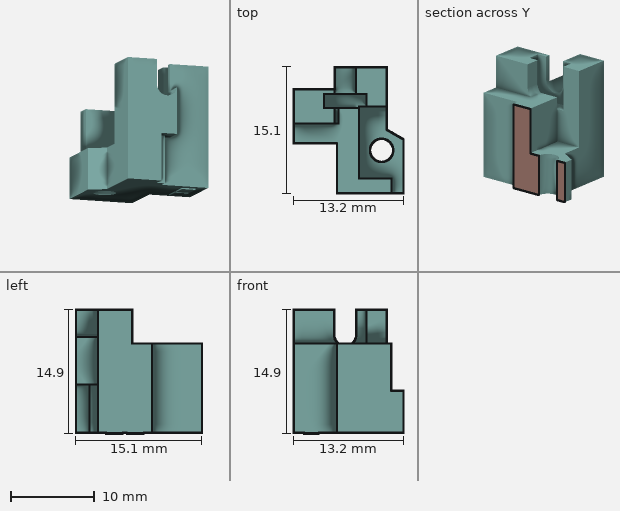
import cadquery as cq
import math

length_x = 13.15
depth_y = 15.1
body_height = 14.76
ledge_height = 10.71
step_height = 5.05

left_block_front = 6.0
left_block_back = 12.47
front_notch_x = 5.17
back_block_right = 11.15
slope_front_y = 6.48
slope_angle = 30
slope_back_y = slope_front_y + (length_x - back_block_right) * math.tan(math.radians(slope_angle))

slot_center_x = 6.18
slot_radius = 1.3
slot_center_z = 11.72
slot_left_x = slot_center_x - slot_radius
slot_right_x = slot_center_x + slot_radius

slot_lip_z = 11.48
back_block_left = slot_center_x - math.sqrt(slot_radius**2 - (slot_center_z - slot_lip_z) ** 2)

nut_width = 5.1
nut_front_y = 10.25
nut_back_y = 11.88
nut_floor_z = slot_center_z - nut_width / 2

left_tower_front = 8.35
right_tower_front = 10.38

step_left_x = 7.85
front_wall_thickness = 1.81
front_wall_right = 11.7
hole_x = 10.53
hole_y = 5.16
hole_diameter = 2.75

recess_height = 5.8
recess_step_y = 13.5
recess_inner_depth = 1.0
recess_outer_depth = 2.0

pad_thickness = 0.15
pad_left_x = 1.25
pad_size_x = 1.75
pad_size_y = 2.0
pad_front_ys = (7.0, 9.5)


def box(x0, x1, y0, y1, z0, z1):
    """Box between two opposite corners."""
    return cq.Workplane("XY").box(x1 - x0, y1 - y0, z1 - z0, centered=False).translate((x0, y0, z0))


def make_body():
    """Full-height prism of the plan outline."""
    outline = [
        (front_notch_x, 0),
        (length_x, 0),
        (length_x, slope_front_y),
        (back_block_right, slope_back_y),
        (back_block_right, depth_y),
        (back_block_left, depth_y),
        (back_block_left, left_block_back),
        (0, left_block_back),
        (0, left_block_front),
        (front_notch_x, left_block_front),
    ]
    return cq.Workplane("XY").polyline(outline).close().extrude(body_height)


def make_front_ledge():
    """Space above the lowered front top face, up to the two raised blocks."""
    front = box(0, length_x, 0, left_tower_front, ledge_height, body_height)
    beside_left_tower = box(
        slot_center_x, length_x, left_tower_front, nut_front_y, ledge_height, body_height
    )
    return front.union(beside_left_tower)


def make_screw_slot():
    """Round-bottomed slot; its floor stays at ledge height in front of the nut."""
    slot = (
        cq.Workplane("XZ")
        .moveTo(slot_left_x, body_height)
        .lineTo(slot_left_x, slot_center_z)
        .threePointArc((slot_center_x, slot_center_z - slot_radius), (slot_right_x, slot_center_z))
        .lineTo(slot_right_x, body_height)
        .close()
        .extrude(-depth_y)
    )
    return slot.cut(box(0, length_x, 0, nut_front_y, 0, ledge_height))


def make_nut_slot():
    """Rectangular slot that takes the nut from above."""
    half_width = nut_width / 2
    return box(
        slot_center_x - half_width, slot_center_x + half_width,
        nut_front_y, nut_back_y, nut_floor_z, body_height,
    )


def make_right_step():
    """Space above the step floor, leaving the front wall and the back block."""
    behind_wall = box(
        step_left_x, length_x, front_wall_thickness, right_tower_front, step_height, body_height
    )
    beside_wall = box(front_wall_right, length_x, 0, front_wall_thickness, step_height, body_height)
    return behind_wall.union(beside_wall)


def make_hole():
    """Vertical through hole."""
    return cq.Workplane("XY").center(hole_x, hole_y).circle(hole_diameter / 2).extrude(body_height)


def make_recess():
    """Two-level recess in the left face of the back block."""
    inner = box(
        back_block_left, back_block_left + recess_inner_depth,
        left_block_back, recess_step_y, 0, recess_height,
    )
    outer = box(
        back_block_left, back_block_left + recess_outer_depth,
        recess_step_y, depth_y, 0, recess_height,
    )
    return inner.union(outer)


def make_pad(front_y):
    """Thin pad under the left block."""
    return box(
        pad_left_x, pad_left_x + pad_size_x, front_y, front_y + pad_size_y, -pad_thickness, 0
    )


result = make_body()
for cutter in (
    make_front_ledge(),
    make_screw_slot(),
    make_nut_slot(),
    make_right_step(),
    make_hole(),
    make_recess(),
):
    result = result.cut(cutter)
for pad_front_y in pad_front_ys:
    result = result.union(make_pad(pad_front_y))